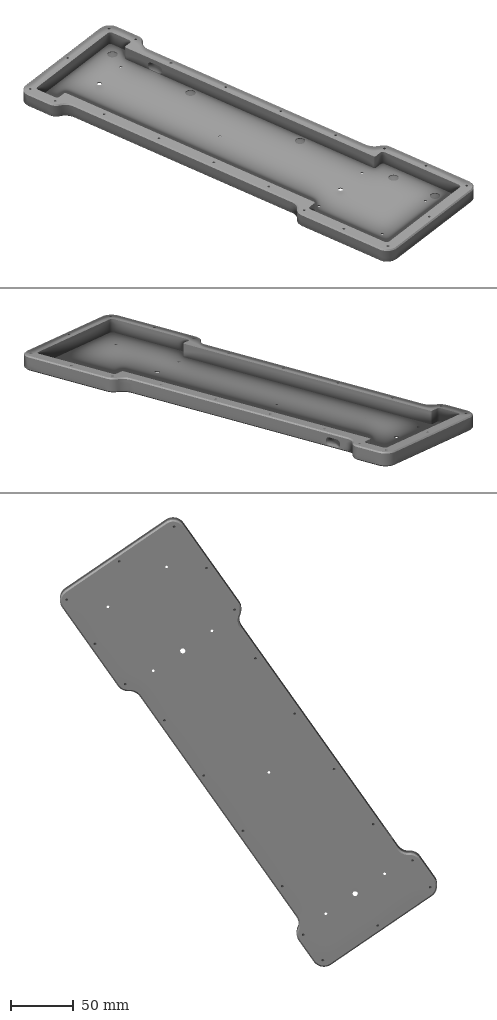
import cadquery as cq
import math

length = 371.35
width = 117.75
height = 12.4
bottom_chamfer = 1.25
top_chamfer = 1.0
corner_radius = 10.0

waist_center_x = -28.575
waist_width = 98.65
shoulder_half_span = 126.3
shoulder_run = 17.15
shoulder_convex_radius = 9.4

end_wall = 9.75
waist_wall = 10.05
floor_thickness = 1.0
bay_half_span = 125.2
pocket_corner_radius = 2.5
pocket_shoulder_radius = 1.5

screw_diameter = 2.2
rim_corner_x = 178.9
rim_corner_y = 52.1
rim_end_x = 180.7
rim_shoulder_half_span = 124.4
rim_shoulder_y = 53.1
rim_waist_pitch = 54.9
rim_waist_count = 4
rim_waist_y = 44.2
rim_right_x = 136.5
rim_right_y = 54.2

mount_diameter = 4.2
mount_half_span = 120.5
floor_screw_half_span = 120.6
floor_screw_y = 28.5
floor_right_x = 155.4

recess_diameter = 8.25
recess_depth = 0.75
recess_waist_half_span = 54.8
recess_waist_y = 33.5
recess_bay_y = 38.2
recess_bay_positions = (-165.0, 116.2, 157.6)

port_width = 14.5
port_height = 7.0
port_x = -123.2
port_z = 5.0

half_length = length / 2
half_width = width / 2
half_waist = waist_width / 2
pocket_half_length = half_length - end_wall
pocket_half_width = half_width - end_wall
pocket_half_waist = half_waist - waist_wall
pocket_depth = height - floor_thickness


def mirrored_x(half_span):
    """X positions at equal distances on both sides of the waist center."""
    return [waist_center_x - half_span, waist_center_x + half_span]


def box_between(x_start, x_end, half_y, z_start, z_height):
    """Box symmetric about the XZ plane."""
    return (
        cq.Workplane("XY", origin=((x_start + x_end) / 2, 0, z_start))
        .box(x_end - x_start, 2 * half_y, z_height, centered=(True, True, False))
    )


def make_shoulder(end, side):
    """Points of an S step, from the wide end to the waist: two tangent arcs of equal sweep.

    end is -1 or +1 for the left or right wide end, side is the sign of Y.
    """
    sweep = 2 * math.atan2(half_width - half_waist, shoulder_run)
    convex = shoulder_convex_radius
    concave = shoulder_run / math.sin(sweep) - convex
    wide_x = waist_center_x + end * shoulder_half_span
    waist_x = wide_x - end * shoulder_run

    def on_convex(angle):
        x = wide_x - end * convex * math.sin(angle)
        return x, side * (half_width - convex * (1 - math.cos(angle)))

    def on_concave(angle):
        x = waist_x + end * concave * math.sin(angle)
        return x, side * (half_waist + concave * (1 - math.cos(angle)))

    return [on_convex(0), on_convex(sweep / 2), on_convex(sweep), on_concave(sweep / 2), on_concave(0)]


def add_shoulder(outline, points):
    start, first_middle, joint, second_middle, finish = points
    outline = outline.lineTo(*start).threePointArc(first_middle, joint)
    return outline.threePointArc(second_middle, finish)


def make_body():
    outline = cq.Workplane("XY").moveTo(-half_length, -half_width)
    outline = add_shoulder(outline, make_shoulder(-1, -1))
    outline = add_shoulder(outline, make_shoulder(1, -1)[::-1])
    outline = outline.lineTo(half_length, -half_width).lineTo(half_length, half_width)
    outline = add_shoulder(outline, make_shoulder(1, 1))
    outline = add_shoulder(outline, make_shoulder(-1, 1)[::-1])
    outline = outline.lineTo(-half_length, half_width).close()
    body = outline.extrude(height).edges("|Z and (<X or >X)").fillet(corner_radius)
    return body.faces("<Z").chamfer(bottom_chamfer).faces(">Z").chamfer(top_chamfer)


def make_pocket():
    """Open cavity following the rim: two wide bays joined by the waist."""
    left_bay_end, right_bay_start = mirrored_x(bay_half_span)
    end_x = pocket_half_length
    waist_y = pocket_half_waist
    left_bay = box_between(-end_x, left_bay_end, pocket_half_width, floor_thickness, pocket_depth)
    right_bay = box_between(right_bay_start, end_x, pocket_half_width, floor_thickness, pocket_depth)
    waist = box_between(left_bay_end, right_bay_start, waist_y, floor_thickness, pocket_depth)
    pocket = (
        left_bay.edges("|Z").fillet(pocket_corner_radius)
        .union(right_bay.edges("|Z").fillet(pocket_corner_radius))
        .union(waist)
    )
    shoulder_edges = cq.selectors.BoxSelector(
        (left_bay_end - pocket_shoulder_radius, -waist_y - pocket_shoulder_radius, 0),
        (right_bay_start + pocket_shoulder_radius, waist_y + pocket_shoulder_radius, height),
    )
    return pocket.edges("|Z").edges(shoulder_edges).fillet(pocket_shoulder_radius)


def make_drills(points, diameter, bottom_z):
    return cq.Workplane("XY", origin=(0, 0, bottom_z)).pushPoints(points).circle(diameter / 2).extrude(height)


def make_port():
    """Slot running from the middle of the part out through the back wall."""
    port_plane = cq.Workplane("XZ", origin=(port_x, 0, port_z))
    return port_plane.slot2D(port_width, port_height).extrude(-width)


def rim_points():
    first_pitch = -(rim_waist_count - 1) / 2
    points = [(-rim_end_x, 0), (rim_end_x, 0)]
    for side in (-1, 1):
        points += [(x, side * rim_corner_y) for x in (-rim_corner_x, rim_corner_x)]
        points += [(x, side * rim_shoulder_y) for x in mirrored_x(rim_shoulder_half_span)]
        points.append((rim_right_x, side * rim_right_y))
        for number in range(rim_waist_count):
            points.append((waist_center_x + (first_pitch + number) * rim_waist_pitch, side * rim_waist_y))
    return points


def floor_screw_points():
    points = [(waist_center_x, 0)]
    for side in (-1, 1):
        screw_positions = mirrored_x(floor_screw_half_span) + [floor_right_x]
        points += [(x, side * floor_screw_y) for x in screw_positions]
    return points


def recess_points():
    points = [(x, recess_waist_y) for x in mirrored_x(recess_waist_half_span)]
    return points + [(x, recess_bay_y) for x in recess_bay_positions]


mount_points = [(x, 0) for x in mirrored_x(mount_half_span)]

result = (
    make_body()
    .cut(make_pocket())
    .cut(make_drills(rim_points() + floor_screw_points(), screw_diameter, 0))
    .cut(make_drills(mount_points, mount_diameter, 0))
    .cut(make_drills(recess_points(), recess_diameter, floor_thickness - recess_depth))
    .cut(make_port())
)